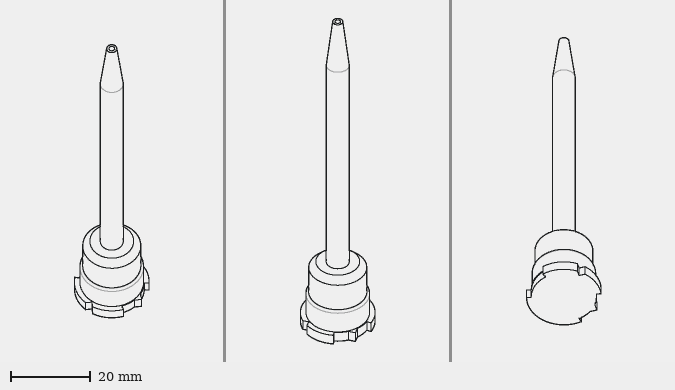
import cadquery as cq
import math

total_height = 95.8

collar_diameter = 16.0
collar_height = 9.4
collar_fillet = 0.6
cap_diameter = 14.6
cap_height = 19.0
cap_chamfer = 1.8

tube_diameter = 5.8
bore_diameter = 4.6
wall = (tube_diameter - bore_diameter) / 2
tip_diameter = 2.6
tip_length = 13.9
taper_start = total_height - tip_length

flange_radius = 9.4
flange_height = 2.8
hub_diameter = 16.4
left_gap_half_angle = 28.25
right_gap_half_angle = 34.5

notch_depth = 1.1
pointer_length = 2.4


def cylinder(diameter, height):
    return cq.Workplane("XY").circle(diameter / 2).extrude(height)


def make_cap():
    """Collar with a rounded top edge, under a cap with a chamfered one."""
    collar = cylinder(collar_diameter, collar_height).faces(">Z").edges().fillet(collar_fillet)
    cap = cylinder(cap_diameter, cap_height).faces(">Z").chamfer(cap_chamfer)
    return collar.union(cap)


def tapered_rod(bottom, diameter, end_diameter):
    """Round rod from the given height up to the tip, narrowing where the taper starts."""
    return (
        cq.Workplane("XZ")
        .moveTo(0, bottom)
        .lineTo(diameter / 2, bottom)
        .lineTo(diameter / 2, taper_start)
        .lineTo(end_diameter / 2, total_height)
        .lineTo(0, total_height)
        .close()
        .revolve(360, (0, 0, 0), (0, 1, 0))
    )


def make_tube():
    """Outside of the tube, rooted at the foot of the cap."""
    return tapered_rod(0, tube_diameter, tip_diameter)


def make_bore():
    """Blind bore that opens at the tip and ends level with the top of the cap."""
    return tapered_rod(cap_height, bore_diameter, tip_diameter - 2 * wall)


def gap_wedge(half_angle, side):
    """Wedge from the axis outward, centred on +X (side = 1) or -X (side = -1)."""
    reach = 2 * flange_radius
    half_width = reach * math.tan(math.radians(half_angle))
    points = [(0, 0), (side * reach, half_width), (side * reach, -half_width)]
    return cq.Workplane("XY").polyline(points).close().extrude(flange_height)


def make_flange():
    """Flange disc with both gaps cut back to the hub and a 90 degree V notch in the rim."""
    flange = cylinder(2 * flange_radius, flange_height)
    flange = flange.cut(gap_wedge(left_gap_half_angle, -1))
    flange = flange.cut(gap_wedge(right_gap_half_angle, 1))
    flange = flange.union(cylinder(hub_diameter, flange_height))
    rim_y = -math.sqrt(flange_radius**2 - notch_depth**2)
    apex_y = rim_y + notch_depth
    spread = 2 * notch_depth
    points = [(0, apex_y), (spread, apex_y - spread), (-spread, apex_y - spread)]
    return flange.cut(cq.Workplane("XY").polyline(points).close().extrude(flange_height))


def make_pointer():
    """Triangular pointer with a 90 degree tip on the flange radius, its root inside the hub."""
    base_x = flange_radius - pointer_length
    points = [(flange_radius, 0), (base_x, pointer_length), (base_x, -pointer_length)]
    return cq.Workplane("XY").polyline(points).close().extrude(flange_height)


body = make_cap().union(make_flange()).union(make_pointer()).union(make_tube())
result = body.cut(make_bore())